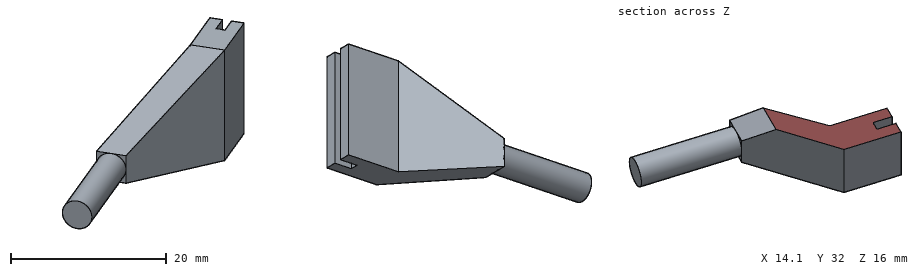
import cadquery as cq

pin_diameter = 4.0
pin_length = 14.0

block_width = 4.65
block_length = 8.0
block_height = 16.0

arm_length = 10.0
overall_width = 14.05
block_offset = overall_width - block_width

slot_width = 1.2
slot_depth = 2.65

arm_start = pin_length
block_start = arm_start + arm_length
block_end = block_start + block_length


def make_pin():
    """Cylinder tangent to the planes X = 0 and Z = 0."""
    radius = pin_diameter / 2
    axis_start = cq.Vector(radius, 0, radius)
    return cq.Workplane(cq.Solid.makeCylinder(radius, pin_length, axis_start, cq.Vector(0, 1, 0)))


def rectangle_wire(x_min, y, width, height):
    """Rectangle in a plane of constant Y, standing on Z = 0."""
    corners = [
        cq.Vector(x_min, y, 0),
        cq.Vector(x_min + width, y, 0),
        cq.Vector(x_min + width, y, height),
        cq.Vector(x_min, y, height),
    ]
    return cq.Wire.makePolygon(corners, close=True)


def make_arm():
    """Ruled transition from a square around the pin to the block's section."""
    pin_end = rectangle_wire(0, arm_start, pin_diameter, pin_diameter)
    block_face = rectangle_wire(block_offset, block_start, block_width, block_height)
    return cq.Workplane(cq.Solid.makeLoft([pin_end, block_face], True))


def make_slotted_block():
    """Upright block with a centred slot open at its +Y end."""
    block = cq.Workplane().box(block_width, block_length, block_height, centered=False)
    slot = (
        cq.Workplane()
        .box(slot_width, slot_depth, block_height, centered=False)
        .translate(((block_width - slot_width) / 2, block_length - slot_depth, 0))
    )
    return block.cut(slot).translate((block_offset, block_start, 0))


result = make_pin().union(make_arm()).union(make_slotted_block())